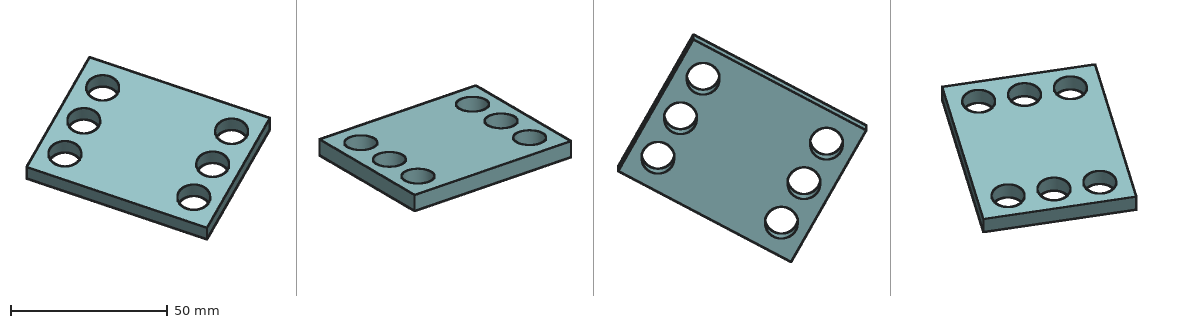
import cadquery as cq

length = 63.0
width = 50.0
thickness = 5.8

hole_diameter = 10.5
column_count = 2
row_count = 3
column_spacing = 45.0
row_spacing = 15.0

plate = cq.Workplane("XY").box(length, width, thickness)

result = (
    plate.faces(">Z")
    .workplane()
    .rarray(column_spacing, row_spacing, column_count, row_count)
    .hole(hole_diameter)
)